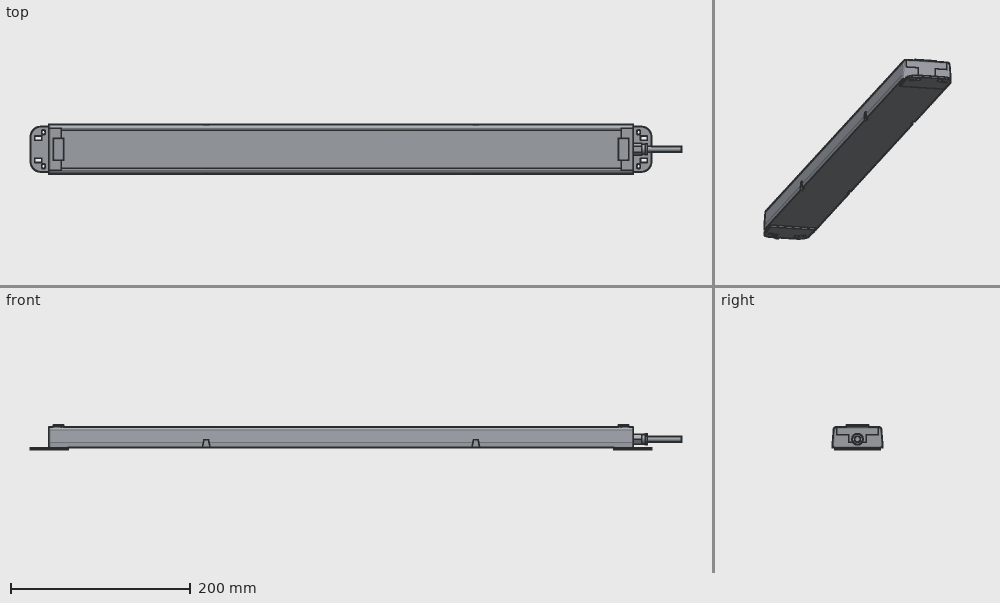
import cadquery as cq
import math

BRACKET_LENGTH = 42.0
BRACKET_WIDTH = 51.0
BRACKET_THICKNESS = 2.0
BRACKET_CORNER_RADIUS = 11.5
BRACKET_OVERHANG = 20.0

LONG_SLOT_X = 9.0
LONG_SLOT_Y = 12.0
LONG_SLOT_LENGTH = 7.0
LONG_SLOT_WIDTH = 4.0
CROSS_SLOT_X = 14.5
CROSS_SLOT_Y = 19.0
CROSS_SLOT_LENGTH = 5.0
CROSS_SLOT_WIDTH = 3.5

HOUSING_LENGTH = 650.0
HOUSING_WIDTH = 56.0
HOUSING_HEIGHT = 23.0
SILL_HEIGHT = 6.0
SIDE_DRAFT_ANGLE = 4.5
SHOULDER_RADIUS = 3.5
END_FILLET = 1.1

NOTCH_SPACING = 299.5
NOTCH_BASE_WIDTH = 9.0
NOTCH_TOP_WIDTH = 5.0
NOTCH_HEIGHT = 9.0
NOTCH_DEPTH = 2.0

CAP_LENGTH = 14.0
CAP_HEAD_HEIGHT = 9.0
CAP_TONGUE_HEIGHT = 17.5
CAP_TONGUE_WIDTH = 19.5

TAB_START = 5.0
TAB_LENGTH = 11.5
TAB_WIDTH = 24.5
TAB_HEIGHT = 2.0
TAB_FILLET = 1.0

PANEL_WIDTH = 42.0
PANEL_THICKNESS = 3.0

CABLE_AXIS_Z = 11.5
CABLE_DIAMETER = 6.5
CABLE_END_X = 723.5
NUT_LENGTH = 9.5
NUT_ACROSS_CORNERS = 13.0
COLLAR_LENGTH = 3.5
COLLAR_DIAMETER = 11.0
RING_LENGTH = 2.0
RING_DIAMETER = 12.0

HOUSING_LEFT = BRACKET_OVERHANG
HOUSING_RIGHT = HOUSING_LEFT + HOUSING_LENGTH
HOUSING_BOTTOM = BRACKET_THICKNESS
HOUSING_TOP = HOUSING_BOTTOM + HOUSING_HEIGHT
MIDDLE_X = HOUSING_LEFT + HOUSING_LENGTH / 2
SIDE_INSET = (HOUSING_HEIGHT - SILL_HEIGHT) * math.tan(math.radians(SIDE_DRAFT_ANGLE))
TOP_CORNER_Y = HOUSING_WIDTH / 2 - SIDE_INSET
SHOULDER_SETBACK = SHOULDER_RADIUS * math.tan(math.radians((90 - SIDE_DRAFT_ANGLE) / 2))
CAP_WIDTH = 2 * (TOP_CORNER_Y - SHOULDER_SETBACK)


def mirror_to_right(body):
    """Copy of a body from the left end, mirrored to the right end."""
    return body.mirror("YZ", (MIDDLE_X, 0, 0))


def make_envelope():
    """Outer shape shared by the housing, the end caps and the panel."""
    half_width = HOUSING_WIDTH / 2
    sill_top = HOUSING_BOTTOM + SILL_HEIGHT
    outline = [
        (-half_width, HOUSING_BOTTOM),
        (half_width, HOUSING_BOTTOM),
        (half_width, sill_top),
        (TOP_CORNER_Y, HOUSING_TOP),
        (-TOP_CORNER_Y, HOUSING_TOP),
        (-half_width, sill_top),
    ]
    section = cq.Workplane("YZ", origin=(HOUSING_LEFT, 0, 0)).polyline(outline).close()
    bar = section.extrude(HOUSING_LENGTH)
    bar = bar.edges("|X and >Z").fillet(SHOULDER_RADIUS)
    return bar.faces("<X or >X").edges().fillet(END_FILLET)


def make_cap_space():
    """T-shaped space of the left end cap."""
    space_size = (CAP_LENGTH, CAP_WIDTH, CAP_HEAD_HEIGHT)
    tongue_size = (CAP_LENGTH, CAP_TONGUE_WIDTH, CAP_TONGUE_HEIGHT)
    corner = cq.Workplane("XY", origin=(HOUSING_LEFT, 0, HOUSING_TOP))
    head = corner.box(*space_size, centered=(False, True, False)).translate((0, 0, -CAP_HEAD_HEIGHT))
    tongue = corner.box(*tongue_size, centered=(False, True, False)).translate((0, 0, -CAP_TONGUE_HEIGHT))
    return head.union(tongue)


def make_panel():
    """Flat light panel, flush with the top of the housing."""
    return cq.Workplane("XY", origin=(MIDDLE_X, 0, HOUSING_TOP - PANEL_THICKNESS)).box(
        HOUSING_LENGTH - 2 * CAP_LENGTH, PANEL_WIDTH, PANEL_THICKNESS, centered=(True, True, False)
    )


def make_notches():
    """Cutters for two notches, narrower at the top, along each lower edge of the housing."""
    outline = [
        (-NOTCH_BASE_WIDTH / 2, HOUSING_BOTTOM),
        (NOTCH_BASE_WIDTH / 2, HOUSING_BOTTOM),
        (NOTCH_TOP_WIDTH / 2, HOUSING_BOTTOM + NOTCH_HEIGHT),
        (-NOTCH_TOP_WIDTH / 2, HOUSING_BOTTOM + NOTCH_HEIGHT),
    ]
    cutters = cq.Workplane("XY")
    for side_x in (-1, 1):
        for side_y in (-1, 1):
            center_x = MIDDLE_X + side_x * NOTCH_SPACING / 2
            center_y = side_y * HOUSING_WIDTH / 2
            prism = cq.Workplane("XZ", origin=(center_x, center_y, 0)).polyline(outline).close()
            cutters = cutters.add(prism.extrude(NOTCH_DEPTH, both=True))
    return cutters.combine()


def make_end_cap(envelope, cap_space):
    """Left end cap with its raised tab."""
    tab = (
        cq.Workplane("XY", origin=(HOUSING_LEFT + TAB_START, 0, HOUSING_TOP))
        .box(TAB_LENGTH, TAB_WIDTH, TAB_HEIGHT, centered=(False, True, False))
        .edges(">Z")
        .fillet(TAB_FILLET)
    )
    return envelope.intersect(cap_space).union(tab)


def make_bracket():
    """Left mounting bracket with two slots on each side of its centre line."""
    plate = (
        cq.Workplane("XY")
        .box(BRACKET_LENGTH, BRACKET_WIDTH, BRACKET_THICKNESS, centered=(False, True, False))
        .edges("|Z and <X")
        .fillet(BRACKET_CORNER_RADIUS)
    )
    long_slots = (
        cq.Workplane("XY")
        .pushPoints([(LONG_SLOT_X, LONG_SLOT_Y), (LONG_SLOT_X, -LONG_SLOT_Y)])
        .rect(LONG_SLOT_LENGTH, LONG_SLOT_WIDTH)
        .extrude(BRACKET_THICKNESS)
    )
    cross_slots = (
        cq.Workplane("XY")
        .pushPoints([(CROSS_SLOT_X, CROSS_SLOT_Y), (CROSS_SLOT_X, -CROSS_SLOT_Y)])
        .slot2D(CROSS_SLOT_LENGTH, CROSS_SLOT_WIDTH, angle=90)
        .extrude(BRACKET_THICKNESS)
    )
    return plate.cut(long_slots).cut(cross_slots)


def make_cable():
    """Hexagonal gland nut, collar, ring and cable in one row along X."""
    collar_start = HOUSING_RIGHT + NUT_LENGTH
    ring_start = collar_start + COLLAR_LENGTH
    cable_start = ring_start + RING_LENGTH

    def section(start):
        return cq.Workplane("YZ", origin=(start, 0, CABLE_AXIS_Z))

    nut = section(HOUSING_RIGHT).polygon(6, NUT_ACROSS_CORNERS).extrude(NUT_LENGTH)
    collar = section(collar_start).circle(COLLAR_DIAMETER / 2).extrude(COLLAR_LENGTH)
    ring = section(ring_start).circle(RING_DIAMETER / 2).extrude(RING_LENGTH)
    cord = section(cable_start).circle(CABLE_DIAMETER / 2).extrude(CABLE_END_X - cable_start)
    return nut.union(collar).union(ring).union(cord)


envelope = make_envelope()
left_cap_space = make_cap_space()
panel = make_panel()
housing = (
    envelope.cut(left_cap_space)
    .cut(mirror_to_right(left_cap_space))
    .cut(panel)
    .cut(make_notches())
)
left_cap = make_end_cap(envelope, left_cap_space)
left_bracket = make_bracket()
end_caps = [left_cap, mirror_to_right(left_cap)]
brackets = [left_bracket, mirror_to_right(left_bracket)]
cable = make_cable()

bodies = [housing, panel, *end_caps, *brackets, cable]
result = cq.Compound.makeCompound([body.val() for body in bodies])